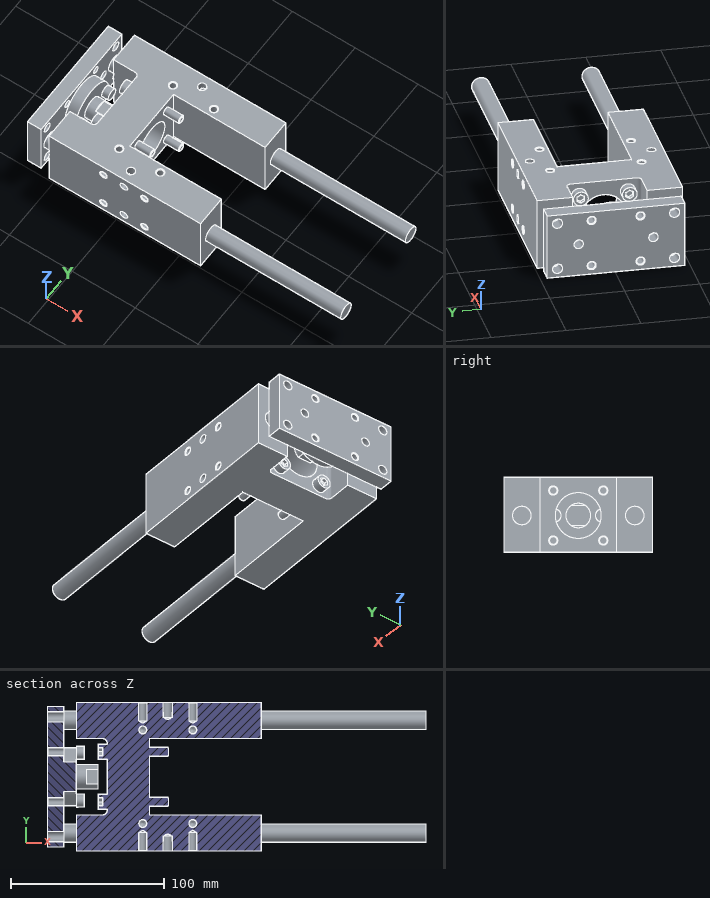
import cadquery as cq
import math

TOTAL_LENGTH = 247.0
PLATE_THICKNESS = 10.9
HOUSING_START = 19.0
HOUSING_LENGTH = 120.5
HOUSING_END = HOUSING_START + HOUSING_LENGTH

HOUSING_WIDTH = 97.0
HOUSING_HEIGHT = 49.0
HOUSING_RISE = 0.5
ARM_GAP = 49.6
WEB_START = 39.0
WEB_END = 66.7
POCKET_CORNER_RADIUS = 3.0
WEB_BORE_DIAMETER = 30.0

MOUNT_HOLE_PITCH = 32.5
MOUNT_CENTRE_X = 78.5
TOP_MOUNT_SPACING = 61.0
THREAD_DIAMETER = 5.0
THREAD_CHAMFER = 0.5
THREAD_DEPTH = 12.0
DRILL_TIP_ANGLE = 118
DOWEL_DIAMETER = 6.0
TOP_DOWEL_SPACING = 81.0
DOWEL_DEPTH = 10.0

SCREW_PITCH = 32.5
SCREW_HEAD_DIAMETER = 10.0
SCREW_HEAD_LENGTH = 6.0
SCREW_SHANK_DIAMETER = 6.0
SCREW_PROJECTION = 12.4
SCREW_TIP_CHAMFER = 0.5
SOCKET_ACROSS_CORNERS = 6.0
SOCKET_DEPTH = 3.0
SOCKET_SIDES = 6
SOCKET_TURN = 180 / SOCKET_SIDES

PLATE_WIDTH = 92.0
PLATE_HEIGHT = 45.0
CORNER_HOLE_DIAMETER = 6.7
CORNER_HOLE_SPACING = 78.0
MIDDLE_HOLE_DIAMETER = 6.2
MIDDLE_HOLE_SPACING = 50.0

ROD_DIAMETER = 12.0
ROD_SPACING = 73.5

FLANGE_DIAMETER = 38.0
STUD_DIAMETER = 16.0
STUD_LENGTH = 14.0
STUD_FLAT_LENGTH = 7.7
STUD_ACROSS_FLATS = 12.8
FLANGE_SCREW_SPACING = 31.0
FLANGE_SCREW_DIAMETER = 8.6
FLANGE_SCREW_LENGTH = 5.2


def x_cylinder(diameter, start, end, y=0, z=0):
    """Cylinder along X between two X positions."""
    return cq.Workplane("YZ", origin=(start, y, z)).circle(diameter / 2).extrude(end - start)


def drill(point, direction, diameter, depth):
    """Flat-bottomed cutter that enters at a point along a direction."""
    return cq.Workplane(
        cq.Solid.makeCylinder(diameter / 2, depth, cq.Vector(*point), cq.Vector(*direction))
    )


def threaded_hole(point, direction):
    """Cutter for a blind hole with a conical tip and a chamfered mouth."""
    radius = THREAD_DIAMETER / 2
    start = cq.Vector(*point)
    axis = cq.Vector(*direction)
    tip_length = radius / math.tan(math.radians(DRILL_TIP_ANGLE / 2))
    shaft = cq.Solid.makeCylinder(radius, THREAD_DEPTH, start, axis)
    tip = cq.Solid.makeCone(radius, 0, tip_length, start + axis * THREAD_DEPTH, axis)
    mouth = cq.Solid.makeCone(radius + THREAD_CHAMFER, radius, THREAD_CHAMFER, start, axis)
    return cq.Workplane(shaft).union(cq.Workplane(tip)).union(cq.Workplane(mouth))


def web_screw(y, z):
    """Socket head screw seated on the front of the web and reaching out behind it."""
    head_start = WEB_START - SCREW_HEAD_LENGTH
    shank = x_cylinder(SCREW_SHANK_DIAMETER, WEB_START, WEB_END + SCREW_PROJECTION, y, z)
    shank = shank.faces(">X").chamfer(SCREW_TIP_CHAMFER)
    socket = (
        cq.Workplane("YZ", origin=(head_start, y, z))
        .transformed(rotate=(0, 0, SOCKET_TURN))
        .polygon(SOCKET_SIDES, SOCKET_ACROSS_CORNERS)
        .extrude(SOCKET_DEPTH)
    )
    head = x_cylinder(SCREW_HEAD_DIAMETER, head_start, WEB_START, y, z).cut(socket)
    return head.union(shank)


def make_housing():
    """H-shaped housing with its bores, mounting holes and web screws."""
    body = cq.Workplane("XY").box(HOUSING_LENGTH, HOUSING_WIDTH, HOUSING_HEIGHT)
    body = body.translate((HOUSING_START + HOUSING_LENGTH / 2, 0, HOUSING_RISE))

    front_pocket = (
        cq.Workplane("XY")
        .box(WEB_START - HOUSING_START, ARM_GAP, HOUSING_HEIGHT)
        .edges("|Z and >X")
        .fillet(POCKET_CORNER_RADIUS)
        .translate(((HOUSING_START + WEB_START) / 2, 0, HOUSING_RISE))
    )
    rear_pocket = (
        cq.Workplane("XY")
        .box(HOUSING_END - WEB_END, ARM_GAP, HOUSING_HEIGHT)
        .translate(((WEB_END + HOUSING_END) / 2, 0, HOUSING_RISE))
    )
    body = body.cut(front_pocket).cut(rear_pocket)
    body = body.cut(x_cylinder(WEB_BORE_DIAMETER, WEB_START, WEB_END))

    top = HOUSING_RISE + HOUSING_HEIGHT / 2
    for side in (-1, 1):
        side_y = side * HOUSING_WIDTH / 2
        inward = (0, -side, 0)
        body = body.cut(x_cylinder(ROD_DIAMETER, HOUSING_START, HOUSING_END, side * ROD_SPACING / 2))

        for end in (-1, 1):
            mount_x = MOUNT_CENTRE_X + end * MOUNT_HOLE_PITCH / 2
            body = body.cut(threaded_hole((mount_x, side * TOP_MOUNT_SPACING / 2, top), (0, 0, -1)))
            for level in (-1, 1):
                mount_z = level * MOUNT_HOLE_PITCH / 2
                body = body.cut(threaded_hole((mount_x, side_y, mount_z), inward))

        top_dowel = (MOUNT_CENTRE_X, side * TOP_DOWEL_SPACING / 2, top)
        body = body.cut(drill(top_dowel, (0, 0, -1), DOWEL_DIAMETER, DOWEL_DEPTH))
        for level in (-1, 1):
            side_dowel = (MOUNT_CENTRE_X, side_y, level * MOUNT_HOLE_PITCH / 2)
            body = body.cut(drill(side_dowel, inward, DOWEL_DIAMETER, DOWEL_DEPTH))

    for side in (-1, 1):
        for level in (-1, 1):
            body = body.union(web_screw(side * SCREW_PITCH / 2, level * SCREW_PITCH / 2))
    return body


def make_plate():
    """Front plate with its corner, middle and chamfered threaded holes."""
    plate = cq.Workplane("XY").box(PLATE_THICKNESS, PLATE_WIDTH, PLATE_HEIGHT)
    plate = plate.translate((PLATE_THICKNESS / 2, 0, 0))
    for side in (-1, 1):
        middle_y = side * MIDDLE_HOLE_SPACING / 2
        plate = plate.cut(x_cylinder(MIDDLE_HOLE_DIAMETER, 0, PLATE_THICKNESS, middle_y))
        for level in (-1, 1):
            z = level * SCREW_PITCH / 2
            corner_y = side * CORNER_HOLE_SPACING / 2
            plate = plate.cut(x_cylinder(CORNER_HOLE_DIAMETER, 0, PLATE_THICKNESS, corner_y, z))
            plate = plate.cut(threaded_hole((0, side * SCREW_PITCH / 2, z), (1, 0, 0)))
    return plate


def make_coupling():
    """Round flange with a flatted stud and two screw heads."""
    stud_end = HOUSING_START + STUD_LENGTH
    flats = (
        cq.Workplane("XY")
        .box(STUD_FLAT_LENGTH, STUD_DIAMETER, STUD_DIAMETER)
        .cut(cq.Workplane("XY").box(STUD_FLAT_LENGTH, STUD_DIAMETER, STUD_ACROSS_FLATS))
        .translate((stud_end - STUD_FLAT_LENGTH / 2, 0, 0))
    )
    stud = x_cylinder(STUD_DIAMETER, HOUSING_START, stud_end).cut(flats)
    coupling = x_cylinder(FLANGE_DIAMETER, PLATE_THICKNESS, HOUSING_START).union(stud)
    for side in (-1, 1):
        screw_y = side * FLANGE_SCREW_SPACING / 2
        screw_end = HOUSING_START + FLANGE_SCREW_LENGTH
        coupling = coupling.union(
            x_cylinder(FLANGE_SCREW_DIAMETER, HOUSING_START, screw_end, screw_y)
        )
    return coupling


def make_slide():
    """Moving slide: front plate, coupling and the two guide rods."""
    slide = make_plate().union(make_coupling())
    for side in (-1, 1):
        slide = slide.union(
            x_cylinder(ROD_DIAMETER, PLATE_THICKNESS, TOTAL_LENGTH, side * ROD_SPACING / 2)
        )
    return slide


housing = make_housing()
slide = make_slide()

result = cq.Compound.makeCompound([housing.solids().val(), slide.solids().val()])